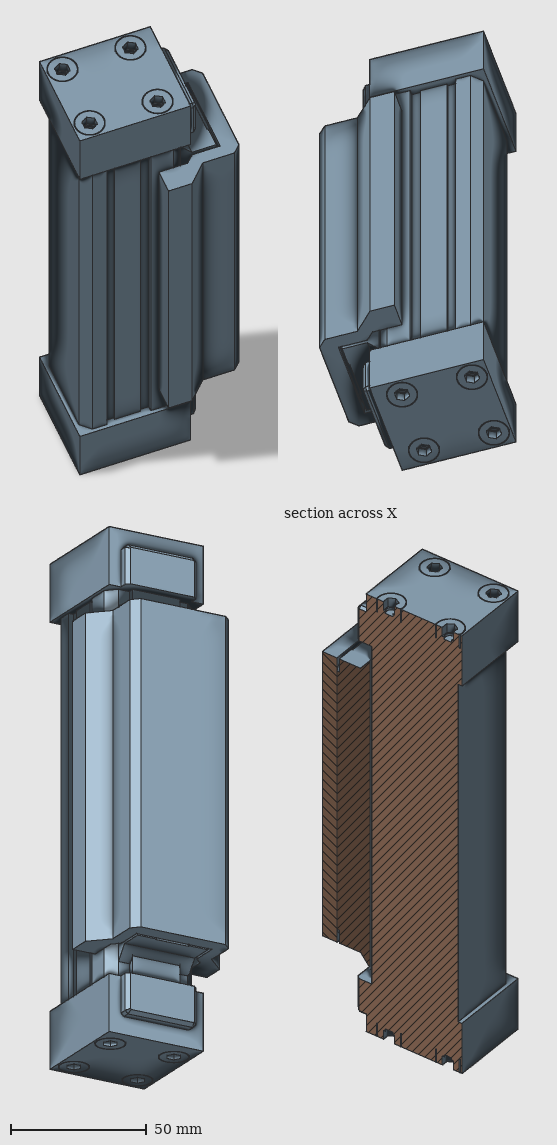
import cadquery as cq


length = 200.0
mid_z = length / 2

cap_width = 40.0
cap_depth = 44.0
cap_length = 23.0

screw_offset_x = 13.5
screw_front_y = 6.5
screw_back_y = screw_front_y + 2 * screw_offset_x
counterbore_diameter = 11.5
screw_head_diameter = 11.0
screw_head_height = 6.0
socket_across_flats = 5.0
socket_depth = 4.0
socket_drill_diameter = 4.13
socket_drill_depth = 5.0

barrel_half_width = 18.5
barrel_front_y = 1.75
barrel_shoulder_y = 41.5
barrel_chamfer = 3.8
rail_half_width = 10.0
rail_top_y = cap_depth

groove_front_y = 11.3
groove_back_y = 28.8
groove_edge_width = 3.6
groove_edge_depth = 2.0
groove_middle_depth = 1.2

clamp_width = 30.0
clamp_top_y = 48.5
clamp_length = 15.9
clamp_corner_chamfer = 1.2
clamp_rim_chamfer = 1.4

bracket_length = 130.0
bracket_half_width = 28.5
bracket_upper_half_width = 21.0
bracket_top_y = 64.0
bracket_top_chamfer = 3.0
bracket_leg_bottom_y = 31.8
bracket_slope_top_y = 48.4
bracket_slope_bottom_y = 41.2
channel_half_width = 16.0
channel_top_y = 57.3
channel_flare_y = 46.2
leg_inner_half_width = 19.0
channel_flare = leg_inner_half_width - channel_half_width

carriage_half_width = 14.9
carriage_top_y = 56.2
carriage_bottom_y = 42.0
ramp_start_y = 46.5
ramp_length = 5.6
carriage_groove_width = 14.0
carriage_groove_depth = 0.5
pad_end_inset = 2.0
pad_corner_radius = 5.0
pad_length = bracket_length - 2 * pad_end_inset


def box_between(x_range, y_range, z_range):
    """Box given by its limits along each axis."""
    (x0, x1), (y0, y1), (z0, z1) = x_range, y_range, z_range
    return cq.Workplane("XY").box(x1 - x0, y1 - y0, z1 - z0, centered=False).translate((x0, y0, z0))


def both_ends(top_feature):
    """The feature at the top end and its mirror image at the bottom end."""
    bottom_feature = top_feature.mirror("XY", (0, 0, mid_z))
    return [top_feature, bottom_feature]


def mirrored_outline(right_side):
    """Closed XY outline from its right-hand points, front to back, mirrored in X."""
    left_side = [(-x, y) for x, y in reversed(right_side)]
    return cq.Workplane("XY").polyline(right_side + left_side).close()


def make_barrel():
    middle_front_y = groove_front_y + groove_edge_width
    middle_back_y = groove_back_y - groove_edge_width
    edge_floor = barrel_half_width - groove_edge_depth
    middle_floor = barrel_half_width - groove_middle_depth
    chamfer_half_width = barrel_half_width - barrel_chamfer
    right_side = [
        (chamfer_half_width, barrel_front_y),
        (barrel_half_width, barrel_front_y + barrel_chamfer),
        (barrel_half_width, groove_front_y),
        (edge_floor, groove_front_y),
        (edge_floor, middle_front_y),
        (middle_floor, middle_front_y),
        (middle_floor, middle_back_y),
        (edge_floor, middle_back_y),
        (edge_floor, groove_back_y),
        (barrel_half_width, groove_back_y),
        (barrel_half_width, barrel_shoulder_y - barrel_chamfer),
        (chamfer_half_width, barrel_shoulder_y),
        (rail_half_width, barrel_shoulder_y),
        (rail_half_width, rail_top_y),
    ]
    barrel_length = length - 2 * cap_length
    return mirrored_outline(right_side).extrude(barrel_length).translate((0, 0, cap_length))


def make_top_cap():
    half_width = cap_width / 2
    cap = box_between((-half_width, half_width), (0, cap_depth), (length - cap_length, length))
    socket_corner_diameter = socket_across_flats * 2 / 3 ** 0.5
    for x in (-screw_offset_x, screw_offset_x):
        for y in (screw_front_y, screw_back_y):
            end_face = cq.Workplane("XY", origin=(x, y, length))
            head_gap = (
                end_face.circle(counterbore_diameter / 2).circle(screw_head_diameter / 2)
                .extrude(-screw_head_height)
            )
            socket = end_face.polygon(6, socket_corner_diameter).extrude(-socket_depth)
            drill = end_face.circle(socket_drill_diameter / 2).extrude(-socket_drill_depth)
            cap = cap.cut(head_gap).cut(socket).cut(drill)
    return cap


def make_top_band_clamp():
    half_width = clamp_width / 2
    bottom_z = length - cap_length
    clamp = box_between(
        (-half_width, half_width), (cap_depth, clamp_top_y), (bottom_z, bottom_z + clamp_length)
    )
    clamp = clamp.faces(">Z").edges("|Y").chamfer(clamp_corner_chamfer)
    rim = clamp.faces(">Y").edges("not <Z")
    return rim.chamfer(clamp_rim_chamfer)


def make_cylinder():
    cylinder = make_barrel()
    for feature in both_ends(make_top_cap()) + both_ends(make_top_band_clamp()):
        cylinder = cylinder.union(feature)
    return cylinder


def make_bracket():
    right_side = [
        (channel_half_width, channel_top_y),
        (channel_half_width, channel_flare_y),
        (leg_inner_half_width, channel_flare_y - channel_flare),
        (leg_inner_half_width, bracket_leg_bottom_y),
        (bracket_half_width, bracket_leg_bottom_y),
        (bracket_half_width, bracket_slope_bottom_y),
        (bracket_upper_half_width, bracket_slope_top_y),
        (bracket_upper_half_width, bracket_top_y - bracket_top_chamfer),
        (bracket_upper_half_width - bracket_top_chamfer, bracket_top_y),
    ]
    bracket = mirrored_outline(right_side).extrude(bracket_length)
    return bracket.translate((0, 0, mid_z - bracket_length / 2))


def make_carriage():
    """Block with ramped ends, straddling the rail and carrying a pad for the bracket."""
    half_length = bracket_length / 2
    side_outline = [
        (carriage_bottom_y, mid_z - half_length - ramp_length),
        (ramp_start_y, mid_z - half_length),
        (carriage_top_y, mid_z - half_length),
        (carriage_top_y, mid_z + half_length),
        (ramp_start_y, mid_z + half_length),
        (carriage_bottom_y, mid_z + half_length + ramp_length),
    ]
    block = cq.Workplane("YZ").polyline(side_outline).close().extrude(carriage_half_width, both=True)

    rail_space = box_between(
        (-rail_half_width, rail_half_width), (carriage_bottom_y, rail_top_y), (0, length)
    )
    groove_half_width = carriage_groove_width / 2
    groove_floor_y = carriage_top_y - carriage_groove_depth
    groove = box_between(
        (-groove_half_width, groove_half_width), (groove_floor_y, carriage_top_y), (0, length)
    )

    pad_z = (mid_z - pad_length / 2, mid_z + pad_length / 2)
    pad = box_between(
        (-carriage_half_width, carriage_half_width), (groove_floor_y, channel_top_y), pad_z
    )
    pad = pad.edges("|Y").fillet(pad_corner_radius)
    return block.cut(rail_space).cut(groove).union(pad)


cylinder = make_cylinder()
bracket = make_bracket()
carriage = make_carriage()

result = cq.Compound.makeCompound([cylinder.val(), bracket.val(), carriage.val()])